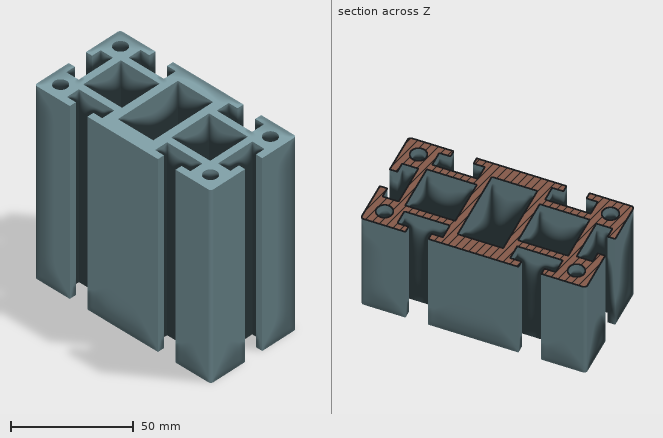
import cadquery as cq

WIDTH = 100.0
DEPTH = 50.0
LENGTH = 100.0
CORNER_RADIUS = 1.5

MODULE = DEPTH
MODULE_CENTERS_X = (-MODULE / 2, MODULE / 2)

MOUTH_WIDTH = 10.0
SLOT_WIDTH = 20.0
LIP_THICKNESS = 3.5
SLOT_DEPTH = 10.5

WALL = 3.5
CHAMBER_SIZE = MODULE - 2 * (SLOT_DEPTH + WALL)
CENTER_CHAMBER_WIDTH = 20.0
CENTER_CHAMBER_DEPTH = 35.0

BORE_DIAMETER = 7.0
BORE_INSET = 7.5


def make_body():
    """Solid block with its four long edges rounded."""
    block = cq.Workplane("XY").box(WIDTH, DEPTH, LENGTH)
    return block.edges("|Z").fillet(CORNER_RADIUS)


def make_bar(width, depth, x=0.0, y=0.0):
    """Full-length rectangular cutter centered at (x, y)."""
    return cq.Workplane("XY").box(width, depth, LENGTH).translate((x, y, 0))


def make_slot(face_distance):
    """T-slot cutter opening toward +Y, with its mouth at y = face_distance."""
    cavity_depth = SLOT_DEPTH - LIP_THICKNESS
    mouth = make_bar(MOUTH_WIDTH, SLOT_DEPTH, y=face_distance - SLOT_DEPTH / 2)
    cavity = make_bar(SLOT_WIDTH, cavity_depth, y=face_distance - LIP_THICKNESS - cavity_depth / 2)
    return mouth.union(cavity)


def cut_slots(body):
    """Two T-slots on each wide face and one on each narrow face."""
    for turn in (0, 180):
        for x in MODULE_CENTERS_X:
            wide_face_slot = make_slot(DEPTH / 2).translate((x, 0, 0))
            body = body.cut(wide_face_slot.rotate((0, 0, 0), (0, 0, 1), turn))
        narrow_face_slot = make_slot(WIDTH / 2)
        body = body.cut(narrow_face_slot.rotate((0, 0, 0), (0, 0, 1), turn + 90))
    return body


def cut_chambers(body):
    """A square chamber in each module and a taller one between them."""
    for x in MODULE_CENTERS_X:
        body = body.cut(make_bar(CHAMBER_SIZE, CHAMBER_SIZE, x=x))
    return body.cut(make_bar(CENTER_CHAMBER_WIDTH, CENTER_CHAMBER_DEPTH))


def cut_bores(body):
    """A through bore near each corner."""
    bore_spacing_x = WIDTH - 2 * BORE_INSET
    bore_spacing_y = DEPTH - 2 * BORE_INSET
    bores = (
        cq.Workplane("XY")
        .rarray(bore_spacing_x, bore_spacing_y, 2, 2)
        .circle(BORE_DIAMETER / 2)
        .extrude(LENGTH / 2, both=True)
    )
    return body.cut(bores)


result = cut_bores(cut_chambers(cut_slots(make_body())))